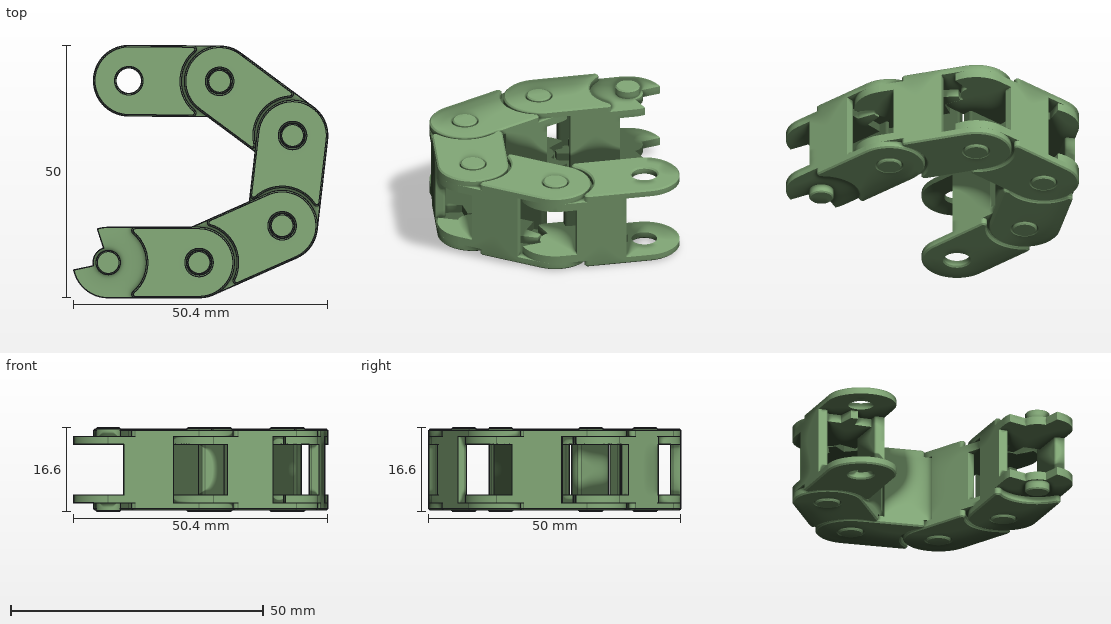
import cadquery as cq
import math


PITCH = 18.0
HALF_WIDTH = 7.0
INNER_FACE_Z = 5.0
PLATE_SPLIT_Z = 6.6
OUTER_FACE_Z = 8.0
PIN_TOP_Z = 8.3

PIN_RADIUS = 2.4
HOLE_RADIUS = 2.5
PIN_CHAMFER = 0.25
PLATE_CHAMFER = 0.3

RECESS_RADIUS = 7.55
RECESS_TIP_FILLET = 0.7

WALL_THICKNESS = 2.0
WALL_FROM_HOLE = 5.05
WALL_FROM_PIN = 3.0
WALL_END_FILLET = 0.5

TOOTH_TIP_RADIUS = 3.5
TOOTH_HALF_ANGLE = 12.0
NOTCH_RADIUS = 3.0
MAX_BEND = 60.0

HEADINGS = [-0.4, -36.6, -96.6, -156.1, -180.0]

INNER_PLATE_THICKNESS = PLATE_SPLIT_Z - INNER_FACE_Z
OUTER_PLATE_THICKNESS = OUTER_FACE_Z - PLATE_SPLIT_Z
WALL_INNER_Y = HALF_WIDTH - WALL_THICKNESS


def polar(radius, angle):
    """Point at a radius and an angle in degrees."""
    return (radius * math.cos(math.radians(angle)), radius * math.sin(math.radians(angle)))


def layer(z):
    """Sketch plane parallel to XY at height z."""
    return cq.Workplane("XY", origin=(0, 0, z))


def outer_plate():
    """Upper outer plate: round at the hole, hollowed by the recess at the pin end."""
    height = OUTER_PLATE_THICKNESS
    round_end = layer(PLATE_SPLIT_Z).circle(HALF_WIDTH).extrude(height)
    strip = layer(PLATE_SPLIT_Z).rect(PITCH, 2 * HALF_WIDTH).extrude(height).translate((PITCH / 2, 0, 0))
    recess = layer(PLATE_SPLIT_Z).center(PITCH, 0).circle(RECESS_RADIUS).extrude(height)
    hole = layer(PLATE_SPLIT_Z).circle(HOLE_RADIUS).extrude(height)
    plate = round_end.union(strip).cut(recess)
    plate = plate.edges("|Z").edges(">X").fillet(RECESS_TIP_FILLET)
    return plate.cut(hole).faces(">Z").edges().chamfer(PLATE_CHAMFER)


def notch():
    """Sector removed from the inner plate, in which the next link's tooth swings."""
    start_angle = -MAX_BEND - TOOTH_HALF_ANGLE
    end_angle = TOOTH_HALF_ANGLE
    middle_angle = (start_angle + end_angle) / 2
    reach = 2 * HALF_WIDTH
    return (
        layer(INNER_FACE_Z)
        .center(PITCH, 0)
        .moveTo(*polar(NOTCH_RADIUS, start_angle))
        .lineTo(*polar(reach, start_angle))
        .threePointArc(polar(reach, middle_angle), polar(reach, end_angle))
        .lineTo(*polar(NOTCH_RADIUS, end_angle))
        .threePointArc(polar(NOTCH_RADIUS, middle_angle), polar(NOTCH_RADIUS, start_angle))
        .close()
        .extrude(INNER_PLATE_THICKNESS)
    )


def inner_plate():
    """Upper inner plate: round and notched at the pin, flat-ended short of the hole."""
    height = INNER_PLATE_THICKNESS
    wall_end_x = PITCH - WALL_FROM_PIN
    round_end = layer(INNER_FACE_Z).center(PITCH, 0).circle(HALF_WIDTH).extrude(height)
    between_walls = cq.Workplane("XY").box(
        PITCH - HALF_WIDTH, 2 * WALL_INNER_Y, height, centered=(False, True, False)
    ).translate((HALF_WIDTH, 0, INNER_FACE_Z))
    past_walls = cq.Workplane("XY").box(
        WALL_FROM_PIN, 2 * HALF_WIDTH, height, centered=(False, True, False)
    ).translate((wall_end_x, 0, INNER_FACE_Z))
    return between_walls.union(past_walls).union(round_end).cut(notch())


def stop_tooth():
    """Tooth with radial flanks and a hollow tip, on the flat end of the inner plate."""
    flank_end_radius = HALF_WIDTH / math.cos(math.radians(TOOTH_HALF_ANGLE))
    return (
        layer(INNER_FACE_Z)
        .moveTo(*polar(flank_end_radius, -TOOTH_HALF_ANGLE))
        .lineTo(*polar(TOOTH_TIP_RADIUS, -TOOTH_HALF_ANGLE))
        .threePointArc((TOOTH_TIP_RADIUS, 0), polar(TOOTH_TIP_RADIUS, TOOTH_HALF_ANGLE))
        .lineTo(*polar(flank_end_radius, TOOTH_HALF_ANGLE))
        .close()
        .extrude(INNER_PLATE_THICKNESS)
    )


def pin():
    """Upper stub pin standing on the inner plate."""
    stub = layer(PLATE_SPLIT_Z).center(PITCH, 0).circle(PIN_RADIUS).extrude(PIN_TOP_Z - PLATE_SPLIT_Z)
    return stub.faces(">Z").chamfer(PIN_CHAMFER)


def side_wall():
    """Wall on the +Y side between the two outer plates, rounded on its inner end edges."""
    length = PITCH - WALL_FROM_HOLE - WALL_FROM_PIN
    wall = cq.Workplane("XY").box(length, WALL_THICKNESS, 2 * PLATE_SPLIT_Z, centered=(False, False, True))
    wall = wall.edges("|Z and <Y").fillet(WALL_END_FILLET)
    return wall.translate((WALL_FROM_HOLE, WALL_INNER_Y, 0))


def link():
    """One complete chain link."""
    upper_half = inner_plate().union(stop_tooth()).union(outer_plate()).union(pin())
    wall = side_wall()
    body = upper_half.union(upper_half.mirror("XY"))
    return body.union(wall).union(wall.mirror("XZ"))


def chain():
    """Links placed so that the hole of each one sits on the pin of the one before."""
    one_link = link()
    links = []
    hole_x = 0.0
    hole_y = 0.0
    for heading in HEADINGS:
        placed = one_link.rotate((0, 0, 0), (0, 0, 1), heading).translate((hole_x, hole_y, 0))
        links.append(placed.val())
        step_x, step_y = polar(PITCH, heading)
        hole_x += step_x
        hole_y += step_y
    return links


result = cq.Compound.makeCompound(chain())